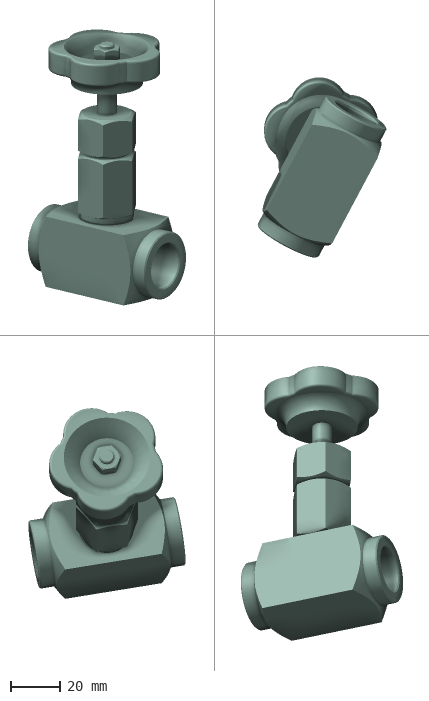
import cadquery as cq
import math


body_size = 30.0
body_length = 48.0
port_length = 60.0
port_diameter = 28.0
port_chamfer = 0.5
body_end_angle = 30.0
bore_diameter = 18.63
bore_depth = 15.0
bore_chamfer = 0.5

hex_sides = 6
hex_across_flats = 22.0
hex_chamfer_angle = 30.0
collar_diameter = 21.8
collar_height = 2.5
collar_foot_diameter = 21.0
seat_chamfer_diameter = 23.0
bonnet_height = 25.0
bonnet_top_face_diameter = 21.0
bonnet_bottom_face_diameter = 21.8
neck_diameter = 18.2
neck_height = 0.8
gland_height = 16.2
gland_face_diameter = 20.4

stem_diameter = 8.0
stem_exposed = 12.3
stud_diameter = 6.0
stud_chamfer = 0.5

hub_diameter = 29.0
hub_height = 6.2
flare_radius = 7.0
rim_height = 9.5
disc_radius = 20.0
lobe_count = 5
lobe_radius = 11.55
lobe_offset = 12.18
lobe_start_angle = 2.7
rim_fillet = 1.0
cup_diameter = 35.0
cup_floor_diameter = 21.8
cup_depth = 5.7

wheel_nut_across_flats = 10.0
wheel_nut_height = 5.5
wheel_nut_face_diameter = 10.0

body_top = body_size / 2
bonnet_bottom = body_top + collar_height
bonnet_top = bonnet_bottom + bonnet_height
gland_bottom = bonnet_top + neck_height
gland_top = gland_bottom + gland_height
hub_bottom = gland_top + stem_exposed
rim_bottom = hub_bottom + hub_height
rim_top = rim_bottom + rim_height
cup_floor = rim_top - cup_depth
total_height = 103.81
stud_top = total_height - body_size / 2


def cylinder(diameter, bottom, top):
    """Cylinder on the stem axis between two heights."""
    return cq.Workplane("XY").workplane(offset=bottom).circle(diameter / 2).extrude(top - bottom)


def hex_prism(across_flats, bottom, top, bottom_face_diameter, top_face_diameter):
    """Hexagon with corners on X, its corners cut back by cones down to the end face circles."""
    across_corners = across_flats / math.cos(math.pi / hex_sides)
    corner_radius = across_corners / 2
    slope = math.tan(math.radians(hex_chamfer_angle))
    bottom_drop = (corner_radius - bottom_face_diameter / 2) * slope
    top_drop = (corner_radius - top_face_diameter / 2) * slope
    prism = (
        cq.Workplane("XY")
        .workplane(offset=bottom)
        .polygon(hex_sides, across_corners)
        .extrude(top - bottom)
    )
    envelope = (
        cq.Workplane("XZ")
        .moveTo(0, bottom)
        .lineTo(bottom_face_diameter / 2, bottom)
        .lineTo(corner_radius, bottom + bottom_drop)
        .lineTo(corner_radius, top - top_drop)
        .lineTo(top_face_diameter / 2, top)
        .lineTo(0, top)
        .close()
        .revolve(360, (0, 0, 0), (0, 1, 0))
    )
    return prism.intersect(envelope)


def make_body():
    """Square block with coned ends, a round port at each end and a blind bore in each port."""
    corner_radius = body_size / math.sqrt(2)
    cone_length = (corner_radius - port_diameter / 2) * math.tan(math.radians(body_end_angle))
    half_length = body_length / 2
    block = cq.Workplane("XY").box(body_length, body_size, body_size)
    envelope = (
        cq.Workplane("XY")
        .moveTo(-half_length, 0)
        .lineTo(-half_length, port_diameter / 2)
        .lineTo(cone_length - half_length, corner_radius)
        .lineTo(half_length - cone_length, corner_radius)
        .lineTo(half_length, port_diameter / 2)
        .lineTo(half_length, 0)
        .close()
        .revolve(360, (0, 0, 0), (1, 0, 0))
    )
    ports = (
        cq.Workplane("YZ")
        .circle(port_diameter / 2)
        .extrude(port_length / 2, both=True)
        .faces("<X or >X")
        .chamfer(port_chamfer)
    )
    return cut_collar_groove(cut_bores(block.intersect(envelope).union(ports)))


def cut_bores(body):
    """Blind bore with a chamfered mouth in both ports."""
    bore_radius = bore_diameter / 2
    mouth = port_length / 2
    bore = (
        cq.Workplane("XY")
        .moveTo(mouth - bore_depth, 0)
        .lineTo(mouth - bore_depth, bore_radius)
        .lineTo(mouth - bore_chamfer, bore_radius)
        .lineTo(mouth, bore_radius + bore_chamfer)
        .lineTo(mouth, 0)
        .close()
        .revolve(360, (0, 0, 0), (1, 0, 0))
    )
    return body.cut(bore).cut(bore.mirror("YZ"))


def cut_collar_groove(body):
    """V-shaped groove around the collar foot, from a 45 degree chamfer in the body's top face."""
    foot_radius = collar_foot_diameter / 2
    rim_radius = seat_chamfer_diameter / 2
    groove = (
        cq.Workplane("XZ")
        .moveTo(foot_radius, body_top)
        .lineTo(rim_radius, body_top)
        .lineTo(foot_radius, body_top - (rim_radius - foot_radius))
        .close()
        .revolve(360, (0, 0, 0), (0, 1, 0))
    )
    return body.cut(groove)


def make_collar():
    """Round collar, chamfered at 45 degrees down to the narrower foot it stands on."""
    foot_radius = collar_foot_diameter / 2
    collar_radius = collar_diameter / 2
    collar_edge = body_top + collar_radius - foot_radius
    return (
        cq.Workplane("XZ")
        .moveTo(0, body_top)
        .lineTo(foot_radius, body_top)
        .lineTo(collar_radius, collar_edge)
        .lineTo(collar_radius, bonnet_bottom)
        .lineTo(0, bonnet_bottom)
        .close()
        .revolve(360, (0, 0, 0), (0, 1, 0))
    )


def make_bonnet():
    """Round collar, long bonnet hexagon, neck and gland nut stacked on the body."""
    bonnet = hex_prism(
        hex_across_flats, bonnet_bottom, bonnet_top, bonnet_bottom_face_diameter, bonnet_top_face_diameter
    )
    neck = cylinder(neck_diameter, bonnet_top, gland_bottom)
    gland = hex_prism(
        hex_across_flats, gland_bottom, gland_top, gland_face_diameter, gland_face_diameter
    )
    return make_collar().union(bonnet).union(neck).union(gland)


def rounded_disc(radius):
    """Disc of the rim's height with its top and bottom edges rounded."""
    return cylinder(2 * radius, rim_bottom, rim_top).faces("<Z or >Z").edges().fillet(rim_fillet)


def make_rim():
    """Central disc with round lobes spaced evenly around it."""
    rim = rounded_disc(disc_radius)
    for index in range(lobe_count):
        angle = math.radians(lobe_start_angle + index * 360 / lobe_count)
        lobe_centre = (lobe_offset * math.cos(angle), lobe_offset * math.sin(angle), 0)
        rim = rim.union(rounded_disc(lobe_radius).translate(lobe_centre))
    return rim


def make_hub():
    """Round hub flaring outward to the underside of the rim along a concave arc."""
    hub_radius = hub_diameter / 2
    end_angle = math.asin(hub_height / flare_radius)
    half_angle = end_angle / 2
    arc_centre = hub_radius + flare_radius
    arc_middle_radius = arc_centre - flare_radius * math.cos(half_angle)
    arc_middle_height = hub_bottom + flare_radius * math.sin(half_angle)
    arc_end_radius = arc_centre - flare_radius * math.cos(end_angle)
    return (
        cq.Workplane("XZ")
        .moveTo(0, hub_bottom)
        .lineTo(hub_radius, hub_bottom)
        .threePointArc(
            (arc_middle_radius, arc_middle_height),
            (arc_end_radius, rim_bottom),
        )
        .lineTo(0, rim_bottom)
        .close()
        .revolve(360, (0, 0, 0), (0, 1, 0))
    )


def make_handwheel():
    """Lobed rim on a flared hub, dished from above by a conical cup."""
    cup = (
        cq.Workplane("XY")
        .workplane(offset=cup_floor)
        .circle(cup_floor_diameter / 2)
        .workplane(offset=cup_depth)
        .circle(cup_diameter / 2)
        .loft()
    )
    return make_rim().union(make_hub()).cut(cup)


def make_stem():
    """Stem up to the handwheel, then the threaded stud with its nut."""
    stem = cylinder(stem_diameter, gland_top, hub_bottom)
    stud = cylinder(stud_diameter, hub_bottom, stud_top).faces(">Z").chamfer(stud_chamfer)
    nut = hex_prism(
        wheel_nut_across_flats,
        cup_floor,
        cup_floor + wheel_nut_height,
        wheel_nut_face_diameter,
        wheel_nut_face_diameter,
    )
    return stem.union(stud).union(nut)


result = make_body().union(make_bonnet()).union(make_handwheel()).union(make_stem())